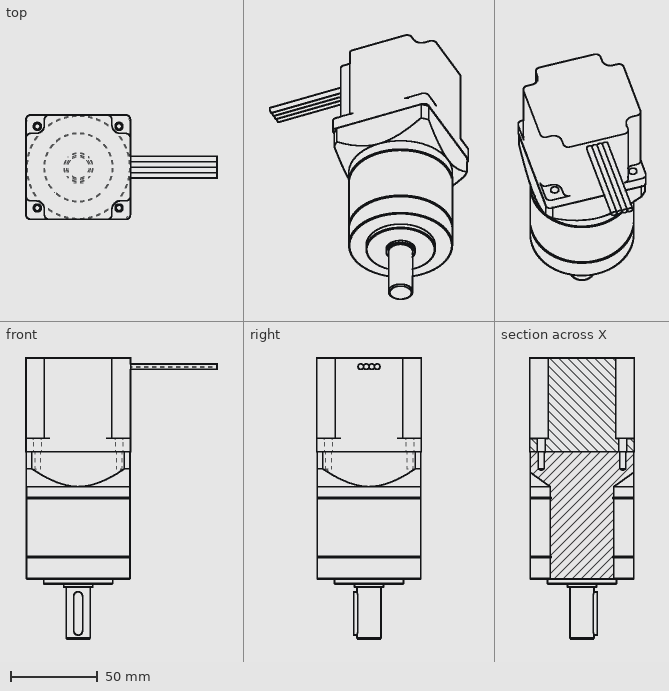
import cadquery as cq
import math


shaft_end_z = 0.0
collar_bottom_z = 30.0
pilot_bottom_z = 31.8
gearbox_bottom_z = 34.8
lower_groove_z = 47.6
upper_groove_z = 81.5
cone_bottom_z = 88.2
motor_bottom_z = 108.4
flange_top_z = 116.0
motor_top_z = 162.5

gearbox_width = 60.0
gearbox_radius = gearbox_width / 2
corner_radius = 40.1
pilot_radius = 20.0
collar_radius = 8.5
shaft_radius = 7.0
edge_chamfer = 0.5
collar_chamfer = 0.3
shaft_chamfer = 0.8
groove_depth = 0.5

key_width = 5.0
key_length = 25.0
key_bottom_z = 2.5
key_top_offset = 9.0

motor_width = 60.5
motor_half = motor_width / 2
motor_corner_fillet = 3.0
pocket_depth = 10.7
pocket_inner_fillet = 4.9
pocket_mouth_fillet = 3.0

screw_spacing = 47.1
flange_hole_diameter = 4.5
tapped_hole_diameter = 3.2
tapped_hole_depth = 9.8
drill_tip_angle = 118.0

wire_count = 4
wire_diameter = 3.2
wire_overlap = 0.08
wire_pitch = wire_diameter - wire_overlap
wire_length = 50.0
wire_z = 157.5


def screw_points(plane_z):
    """Workplane at a level holding the four mounting screw positions."""
    plane = cq.Workplane("XY", origin=(0, 0, plane_z))
    return plane.rect(screw_spacing, screw_spacing, forConstruction=True).vertices()


def groove_outline(center_z):
    """Profile points of a 90 degree V-groove in the side of the gear case."""
    return [
        (gearbox_radius, center_z - groove_depth),
        (gearbox_radius - groove_depth, center_z),
        (gearbox_radius, center_z + groove_depth),
    ]


def turned_gearbox():
    """Shaft, collar, pilot, gear case and flared adapter as one turned shape."""
    cone_rise = corner_radius - gearbox_radius
    profile = [
        (0, shaft_end_z),
        (shaft_radius - shaft_chamfer, shaft_end_z),
        (shaft_radius, shaft_end_z + shaft_chamfer),
        (shaft_radius, collar_bottom_z),
        (collar_radius - collar_chamfer, collar_bottom_z),
        (collar_radius, collar_bottom_z + collar_chamfer),
        (collar_radius, pilot_bottom_z),
        (pilot_radius - edge_chamfer, pilot_bottom_z),
        (pilot_radius, pilot_bottom_z + edge_chamfer),
        (pilot_radius, gearbox_bottom_z),
        (gearbox_radius - edge_chamfer, gearbox_bottom_z),
        (gearbox_radius, gearbox_bottom_z + edge_chamfer),
        *groove_outline(lower_groove_z),
        *groove_outline(upper_groove_z),
        (gearbox_radius, cone_bottom_z),
        (corner_radius, cone_bottom_z + cone_rise),
        (corner_radius, motor_bottom_z),
        (0, motor_bottom_z),
    ]
    return cq.Workplane("XZ").polyline(profile).close().revolve(360, (0, 0), (0, 1))


def square_envelope():
    """Block that trims the flared adapter to flat sides."""
    return cq.Workplane("XY").rect(gearbox_width, gearbox_width).extrude(motor_bottom_z)


def shaft_key():
    """Round-ended key standing out of the shaft on the -Y side."""
    return (
        cq.Workplane("XZ")
        .center(0, key_bottom_z + key_length / 2)
        .slot2D(key_length, key_width, 90)
        .extrude(key_top_offset)
    )


def tapped_holes():
    """Blind drilled holes with conical tips, opening at the motor joint."""
    radius = tapped_hole_diameter / 2
    tip_height = radius / math.tan(math.radians(drill_tip_angle / 2))
    drill = (
        cq.Workplane("XZ")
        .polyline([
            (0, 0),
            (radius, 0),
            (radius, -tapped_hole_depth),
            (0, -tapped_hole_depth - tip_height),
        ])
        .close()
        .revolve(360, (0, 0), (0, 1))
        .val()
    )
    return screw_points(motor_bottom_z).eachpoint(lambda place: drill.moved(place))


def make_gearbox():
    body = turned_gearbox().intersect(square_envelope())
    return body.union(shaft_key()).cut(tapped_holes())


def motor_block():
    """Square block with rounded vertical corners."""
    return (
        cq.Workplane("XY", origin=(0, 0, motor_bottom_z))
        .rect(motor_width, motor_width)
        .extrude(motor_top_z - motor_bottom_z)
        .edges("|Z")
        .fillet(motor_corner_fillet)
    )


def corner_pocket():
    """Cutter for the (+X, +Y) screw pocket, with a rounded inner corner and flared mouths."""
    wall = motor_half - pocket_depth
    mouth_end = wall - pocket_mouth_fillet
    mouth_start = motor_half - pocket_mouth_fillet
    inner_start = wall + pocket_inner_fillet
    mouth_tangent = pocket_mouth_fillet * math.sqrt(0.5)
    mouth_mid = (mouth_start + mouth_tangent, mouth_end + mouth_tangent)
    inner_mid = inner_start - pocket_inner_fillet * math.sqrt(0.5)
    return (
        cq.Workplane("XY", origin=(0, 0, flange_top_z))
        .moveTo(motor_half, motor_half)
        .lineTo(motor_half, mouth_end)
        .threePointArc(mouth_mid, (mouth_start, wall))
        .lineTo(inner_start, wall)
        .threePointArc((inner_mid, inner_mid), (wall, inner_start))
        .lineTo(wall, mouth_start)
        .threePointArc(mouth_mid[::-1], (mouth_end, motor_half))
        .close()
        .extrude(motor_top_z - flange_top_z)
    )


def lead_wires():
    """Row of round leads leaving the +X side of the motor."""
    first_y = -wire_pitch * (wire_count - 1) / 2
    side = cq.Workplane("YZ", origin=(motor_half, 0, 0))
    wires = cq.Workplane("XY")
    for index in range(wire_count):
        wire = side.center(first_y + index * wire_pitch, wire_z).circle(wire_diameter / 2).extrude(wire_length)
        wires = wires.union(wire)
    return wires


def make_motor():
    body = motor_block()
    pocket = corner_pocket()
    for quarter_turn in range(4):
        body = body.cut(pocket.rotate((0, 0, 0), (0, 0, 1), 90 * quarter_turn))
    flange_height = flange_top_z - motor_bottom_z
    flange_holes = screw_points(motor_bottom_z).circle(flange_hole_diameter / 2).extrude(flange_height)
    return body.cut(flange_holes).union(lead_wires())


gearbox = make_gearbox()
motor = make_motor()

result = cq.Compound.makeCompound([gearbox.val(), motor.val()])